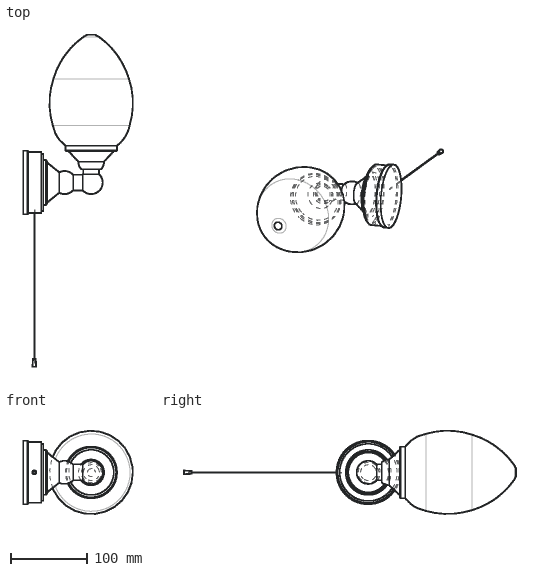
import cadquery as cq
import math

lamp_x = 89.5

plate_radius = 42.0
plate_thickness = 7.0
plate_chamfer = 1.5

cover_radius = 40.0
cover_shoulder_x = 24.0
cover_step_radius = 37.5
cover_face_x = 26.5
collar_radius = 29.5
collar_lip_radius = 27.5
collar_x = 30.0
collar_end_x = 32.0
cone_base_radius = 26.0

ball_radius = 15.3
rod_radius = 10.5
ball_cut = math.sqrt(ball_radius**2 - rod_radius**2)
bead_start_x = 47.5
bead_center_x = 54.5
bead_start_radius = math.sqrt(ball_radius**2 - (bead_center_x - bead_start_x)**2)

holder_start_y = 17.5
holder_start_radius = 13.0
holder_bulge_y = 22.2
holder_bulge_radius = 16.0
holder_cone_y = 27.5
holder_cone_radius = 17.0
flange_y = 41.0
flange_inner_radius = 29.5
flange_radius = 34.0
flange_chamfer = 1.5
shade_start_y = 48.5

belly_y = 104.0
belly_radius = 55.0
belly_arc_radius = 100.2
lower_seam_y = 75.5
upper_seam_y = 136.0
bowl_mid_y = 61.0
bowl_mid_radius = 45.5
dome_mid_y = 166.5
dome_mid_radius = 35.0
dome_end_y = 191.5
dome_end_radius = 10.0
shade_top_y = 194.0
tip_radius = 5.2

cord_x = 15.0
cord_radius = 0.5
cord_inset = 4.5
pull_end_y = shade_top_y - 435.7
pull_length = 10.5
pull_top_radius = 1.95
pull_bottom_radius = 2.5
cord_socket_depth = 5.2
cord_start_y = cord_inset - cover_radius
cord_end_y = pull_end_y + pull_length - cord_socket_depth


def belly_radius_at(y):
    """Radius of the belly arc at height y."""
    return belly_radius - belly_arc_radius + math.sqrt(belly_arc_radius**2 - (y - belly_y)**2)


def revolve_about_lamp_axis(profile):
    """Revolve a profile of (radius, y) points and move it onto the lamp axis."""
    return profile.close().revolve(360, (0, 0), (0, 1)).translate((lamp_x, 0, 0))


def make_cord():
    start = cq.Workplane("XZ", origin=(cord_x, cord_start_y, 0))
    return start.circle(cord_radius).extrude(cord_start_y - cord_end_y)


def make_back_plate():
    plate = cq.Workplane("YZ").circle(plate_radius).extrude(plate_thickness)
    return plate.faces(">X").chamfer(plate_chamfer)


def make_cover_and_arm():
    profile = (
        cq.Workplane("XY")
        .moveTo(plate_thickness, 0)
        .lineTo(plate_thickness, cover_radius)
        .lineTo(cover_shoulder_x, cover_radius)
        .lineTo(cover_shoulder_x, cover_step_radius)
        .lineTo(cover_face_x, cover_step_radius)
        .lineTo(cover_face_x, collar_radius)
        .lineTo(collar_x, collar_radius)
        .lineTo(collar_end_x, collar_lip_radius)
        .lineTo(collar_end_x, cone_base_radius)
        .lineTo(bead_start_x, bead_start_radius)
        .threePointArc((bead_center_x, ball_radius), (bead_center_x + ball_cut, rod_radius))
        .lineTo(lamp_x, rod_radius)
        .lineTo(lamp_x, 0)
        .close()
    )
    cover = profile.revolve(360, (0, 0), (1, 0))
    elbow = cq.Workplane("XY").sphere(ball_radius).translate((lamp_x, 0, 0))
    return cover.union(elbow).union(make_lamp_holder()).cut(make_cord())


def make_lamp_holder():
    profile = (
        cq.Workplane("XY")
        .lineTo(rod_radius, 0)
        .lineTo(rod_radius, holder_start_y)
        .lineTo(holder_start_radius, holder_start_y)
        .threePointArc((holder_bulge_radius, holder_bulge_y), (holder_cone_radius, holder_cone_y))
        .lineTo(flange_inner_radius, flange_y)
        .lineTo(flange_radius - flange_chamfer, flange_y)
        .lineTo(flange_radius, flange_y + flange_chamfer)
        .lineTo(flange_radius, shade_start_y)
        .lineTo(0, shade_start_y)
    )
    return revolve_about_lamp_axis(profile)


def make_shade():
    profile = (
        cq.Workplane("XY")
        .moveTo(0, shade_start_y)
        .lineTo(flange_radius, shade_start_y)
        .threePointArc((bowl_mid_radius, bowl_mid_y), (belly_radius_at(lower_seam_y), lower_seam_y))
        .threePointArc((belly_radius, belly_y), (belly_radius_at(upper_seam_y), upper_seam_y))
        .threePointArc((dome_mid_radius, dome_mid_y), (dome_end_radius, dome_end_y))
        .lineTo(tip_radius, shade_top_y)
        .lineTo(0, shade_top_y)
    )
    return revolve_about_lamp_axis(profile)


def make_pull():
    profile = (
        cq.Workplane("XY")
        .moveTo(0, pull_end_y)
        .lineTo(pull_bottom_radius, pull_end_y)
        .lineTo(pull_top_radius, pull_end_y + pull_length)
        .lineTo(0, pull_end_y + pull_length)
        .close()
    )
    pull = profile.revolve(360, (0, 0), (0, 1)).translate((cord_x, 0, 0))
    return pull.cut(make_cord())


back_plate = make_back_plate()
cover_and_arm = make_cover_and_arm()
shade = make_shade()
cord = make_cord()
pull = make_pull()

result = cq.Compound.makeCompound(
    [back_plate.val(), cover_and_arm.val(), shade.val(), cord.val(), pull.val()]
)